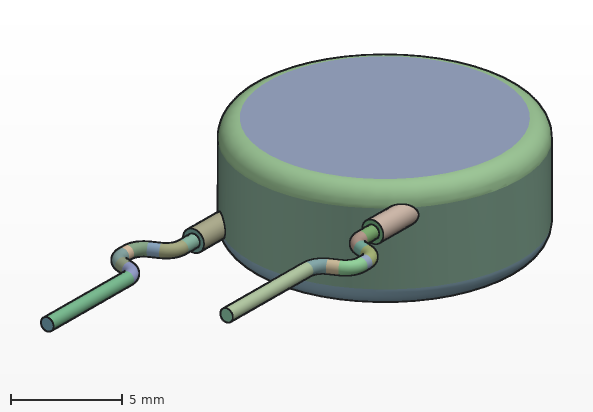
import cadquery as cq
import math

overall_length = 26.2
disc_diameter = 15.0
disc_height = 6.0
edge_radius = 1.0
lead_spacing = 10.0
lead_height_step = 3.22
sleeve_diameter = 1.18
sleeve_projection = 0.15
wire_diameter = 0.7
neck_length = 0.86
bend_radius = 0.9
bend_angle = 68.0
ramp_length = 0.58
crest_length = 0.37

disc_radius = disc_diameter / 2
lead_x = lead_spacing / 2
lead_z = lead_height_step / 2
disc_surface_y = -math.sqrt(disc_radius**2 - lead_x**2)
sleeve_end_y = -disc_radius - sleeve_projection
wire_tip_y = disc_radius - overall_length
lead_sides = (-1, 1)


def rod(diameter, side, start_y, end_y):
    """Straight round rod on one lead axis, running toward -Y."""
    return (
        cq.Workplane("XZ", origin=(side * lead_x, start_y, side * lead_z))
        .circle(diameter / 2)
        .extrude(start_y - end_y)
    )


def make_housing():
    """Round-edged disc whose coating runs out along both leads as sleeves."""
    housing = (
        cq.Workplane("XY")
        .cylinder(disc_height, disc_radius)
        .faces("<Z or >Z")
        .edges()
        .fillet(edge_radius)
    )
    for side in lead_sides:
        housing = housing.union(rod(sleeve_diameter, side, 0, sleeve_end_y))
    for side in lead_sides:
        housing = housing.cut(rod(wire_diameter, side, disc_surface_y, sleeve_end_y))
    return housing


def wire_axis(side):
    """Wire axis with one outward kink, drawn in the plane of the lead."""
    x = side * lead_x
    y = disc_surface_y
    heading = 0.0
    path = cq.Workplane("XY", origin=(0, 0, side * lead_z)).moveTo(x, y)

    def straight(length):
        nonlocal x, y, path
        x += side * length * math.sin(math.radians(heading))
        y -= length * math.cos(math.radians(heading))
        path = path.lineTo(x, y)

    def bend(turn):
        nonlocal x, y, heading, path
        signed_radius = math.copysign(bend_radius, turn)
        start_angle = math.radians(heading)

        def point_after(part_turn):
            angle = math.radians(heading + part_turn)
            across = signed_radius * (math.cos(start_angle) - math.cos(angle))
            along = signed_radius * (math.sin(angle) - math.sin(start_angle))
            return x + side * across, y - along

        middle = point_after(turn / 2)
        end = point_after(turn)
        path = path.threePointArc(middle, end)
        x, y = end
        heading += turn

    straight(disc_surface_y - sleeve_end_y + neck_length)
    bend(bend_angle)
    straight(ramp_length)
    bend(-bend_angle)
    straight(crest_length)
    bend(-bend_angle)
    straight(ramp_length)
    bend(bend_angle)
    straight(y - wire_tip_y)
    return path


def make_wire(side):
    """Round wire from the bottom of its socket to its free tip."""
    start = (side * lead_x, disc_surface_y, side * lead_z)
    section = cq.Workplane("XZ", origin=start).circle(wire_diameter / 2)
    return section.sweep(wire_axis(side))


housing = make_housing()
wires = [make_wire(side) for side in lead_sides]

result = cq.Compound.makeCompound([housing.solids().val(), *[wire.val() for wire in wires]])